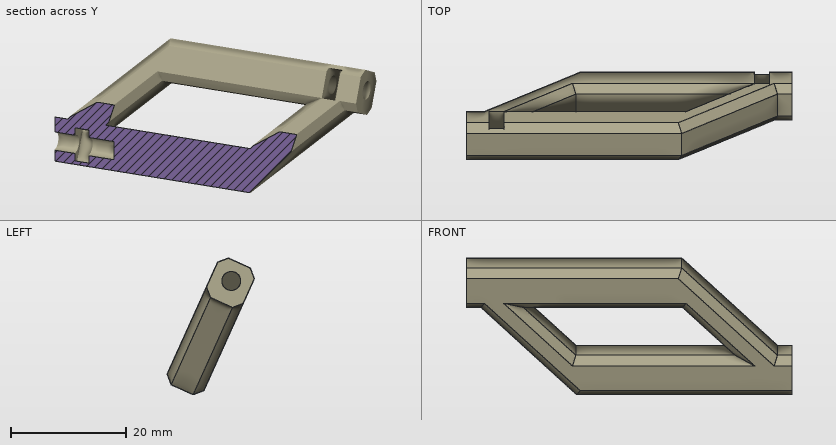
import cadquery as cq
import math

length = 56.5
bar_spacing = 16.6
bar_width = 7.5
thickness = 7.0
link_width = 5.2
outer_corner_x = 9.1
edge_chamfer = 1.4
tilt = 24.3

hole_diameter = 3.3
hole_depth = 11.3
hole_offset = 0.35
nut_slot_start = 3.95
nut_slot_width = 2.6
nut_across_flats = 5.5
nut_slot_past_hole = 0.55

half_length = length / 2
half_thickness = thickness / 2
outer_u = (bar_spacing + bar_width) / 2
inner_u = (bar_spacing - bar_width) / 2
hole_u = bar_spacing / 2 + hole_offset
nut_slot_depth = half_thickness + hole_diameter / 2 + nut_slot_past_hole

tilt_angle = math.radians(tilt)
frame_plane = cq.Plane(
    origin=(0, 0, 0),
    xDir=(1, 0, 0),
    normal=(0, -math.cos(tilt_angle), -math.sin(tilt_angle)),
)


def with_half_turn(points):
    """Complete an outline that repeats after a half turn about the centre."""
    return points + [(-x, -u) for x, u in points]


def extruded(points):
    """Solid plate of the frame thickness, centred on the frame plane."""
    return cq.Workplane("XY").polyline(points).close().extrude(half_thickness, both=True)


def make_frame():
    link_foot_x = outer_corner_x + outer_u + inner_u
    outline = with_half_turn([
        (-half_length, outer_u),
        (outer_corner_x, outer_u),
        (link_foot_x, -inner_u),
        (half_length, -inner_u),
    ])
    window_top_x = outer_corner_x + outer_u - inner_u - link_width * math.sqrt(2)
    window_bottom_x = window_top_x + 2 * inner_u
    window = with_half_turn([
        (window_top_x, inner_u),
        (window_bottom_x, -inner_u),
    ])
    frame = extruded(outline).cut(extruded(window))
    margin = 0.05
    inside = cq.selectors.BoxSelector(
        (-half_length + margin, -length, -length),
        (half_length - margin, length, length),
    )
    return frame.faces("<Z or >Z").edges(inside).chamfer(edge_chamfer)


def make_nut_socket():
    """Blind hole in the end of the upper bar, crossed by a slot from the back."""
    hole = (
        cq.Workplane("YZ", origin=(-half_length, hole_u, 0))
        .circle(hole_diameter / 2)
        .extrude(hole_depth)
    )
    slot = (
        cq.Workplane("XY", origin=(-half_length + nut_slot_start, hole_u, -half_thickness))
        .box(nut_slot_width, nut_across_flats, nut_slot_depth, centered=(False, True, False))
    )
    return hole.union(slot)


socket = make_nut_socket()
part = make_frame()
for turn in (0, 180):
    part = part.cut(socket.rotate((0, 0, 0), (0, 0, 1), turn))

result = cq.Workplane("XY").newObject([part.val().moved(cq.Location(frame_plane))])